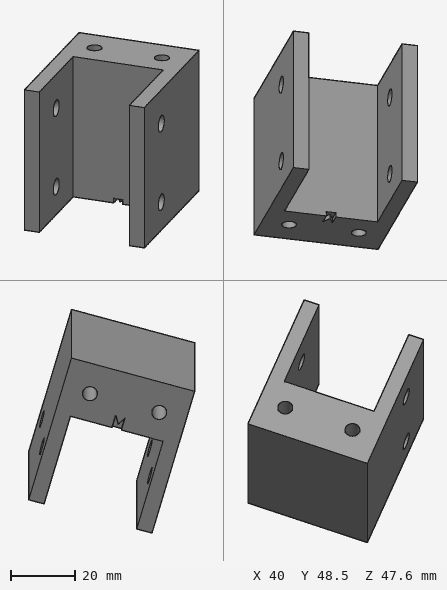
import cadquery as cq
import math

width = 40.0
depth = 48.55
height = 47.6

leg_thickness = 5.0
opening_depth = 30.0
opening_width = width - 2 * leg_thickness

mount_diameter = 4.6
mount_spacing = 22.45
mount_y = 38.85

cross_diameter = 5.3
cross_y = 15.0
cross_heights = (9.5, 36.15)

notch_width = 3.0
notch_height = 1.5
notch_tip_depth = 1.5
notch_point_angle = 60.0
notch_depth = notch_tip_depth + notch_width / 2 / math.tan(math.radians(notch_point_angle / 2))


def make_bracket():
    """U-shaped block with the opening towards -Y."""
    block = cq.Workplane("XY").box(width, depth, height, centered=(True, False, False))
    opening = cq.Workplane("XY").box(
        opening_width, opening_depth, height, centered=(True, False, False)
    )
    return block.cut(opening)


def make_mount_holes():
    """Pair of vertical through holes."""
    half_spacing = mount_spacing / 2
    return (
        cq.Workplane("XY")
        .pushPoints([(-half_spacing, mount_y), (half_spacing, mount_y)])
        .circle(mount_diameter / 2)
        .extrude(height)
    )


def make_cross_holes():
    """Holes along X, in line through both legs."""
    return (
        cq.Workplane("YZ")
        .pushPoints([(cross_y, z) for z in cross_heights])
        .circle(cross_diameter / 2)
        .extrude(width / 2, both=True)
    )


def make_notch():
    """Notch in the lower edge of the bridge; its end wall points towards -Y."""
    half_width = notch_width / 2
    return (
        cq.Workplane("XY")
        .moveTo(-half_width, opening_depth)
        .lineTo(half_width, opening_depth)
        .lineTo(half_width, opening_depth + notch_depth)
        .lineTo(0, opening_depth + notch_tip_depth)
        .lineTo(-half_width, opening_depth + notch_depth)
        .close()
        .extrude(notch_height)
    )


result = make_bracket().cut(make_mount_holes()).cut(make_cross_holes()).cut(make_notch())